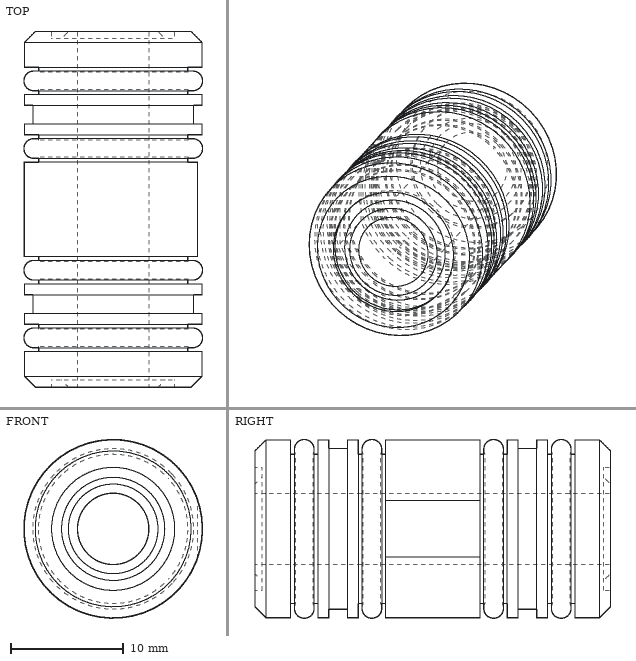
import cadquery as cq

length = 31.75
half_length = length / 2
body_radius = 7.95
bore_radius = 3.18
end_chamfer = 1.0

end_collar_edge = 3.2
flange_width = 1.0
groove_width = 2.4
recess_width = 1.65
groove_radius = 6.67
recess_radius = 7.18
cutter_clearance = 0.32

ring_outer_radius = 7.985
ring_cord_radius = 0.9

pocket_radius = 5.5
hub_base_radius = 4.6
hub_face_radius = 4.0
pocket_depth = 0.65

flat_distance = 7.52

outer_groove_start = end_collar_edge
outer_groove_end = outer_groove_start + groove_width
recess_start = outer_groove_end + flange_width
recess_end = recess_start + recess_width
inner_groove_start = recess_end + flange_width
inner_groove_end = inner_groove_start + groove_width


def revolve_about_y(profile):
    return profile.revolve(360, (0, 0, 0), (0, 1, 0))


def make_body():
    profile = (
        cq.Workplane("XY")
        .moveTo(bore_radius, -half_length)
        .lineTo(body_radius - end_chamfer, -half_length)
        .lineTo(body_radius, -half_length + end_chamfer)
        .lineTo(body_radius, half_length - end_chamfer)
        .lineTo(body_radius - end_chamfer, half_length)
        .lineTo(bore_radius, half_length)
        .close()
    )
    return revolve_about_y(profile)


def make_groove(start, end, floor_radius):
    """Annular cutter between two distances from the -Y end."""
    profile = (
        cq.Workplane("XY")
        .moveTo(floor_radius, start - half_length)
        .lineTo(body_radius + cutter_clearance, start - half_length)
        .lineTo(body_radius + cutter_clearance, end - half_length)
        .lineTo(floor_radius, end - half_length)
        .close()
    )
    return revolve_about_y(profile)


def make_ring(start, end):
    """O-ring centred between the walls of a groove."""
    middle = (start + end) / 2 - half_length
    center_radius = ring_outer_radius - ring_cord_radius
    profile = cq.Workplane("XY").moveTo(center_radius, middle).circle(ring_cord_radius)
    return revolve_about_y(profile)


def make_end_pocket():
    """Annular cutter at the -Y end, sloped on its inner side."""
    profile = (
        cq.Workplane("XY")
        .moveTo(hub_face_radius, -half_length)
        .lineTo(pocket_radius, -half_length)
        .lineTo(pocket_radius, -half_length + pocket_depth)
        .lineTo(hub_base_radius, -half_length + pocket_depth)
        .close()
    )
    return revolve_about_y(profile)


def make_flat():
    """Block that trims the +X side of the central band."""
    band_length = length - 2 * inner_groove_end
    return cq.Workplane("XY").box(
        body_radius, band_length, 2 * body_radius, centered=(False, True, True)
    ).translate((flat_distance, 0, 0))


def both_ends(shape):
    return shape, shape.mirror("XZ")


grooves = [(outer_groove_start, outer_groove_end), (inner_groove_start, inner_groove_end)]

result = make_body().cut(make_flat())

cutters = [make_groove(start, end, groove_radius) for start, end in grooves]
cutters.append(make_groove(recess_start, recess_end, recess_radius))
cutters.append(make_end_pocket())
for cutter in cutters:
    for placed in both_ends(cutter):
        result = result.cut(placed)

for start, end in grooves:
    for ring in both_ends(make_ring(start, end)):
        result = result.union(ring)